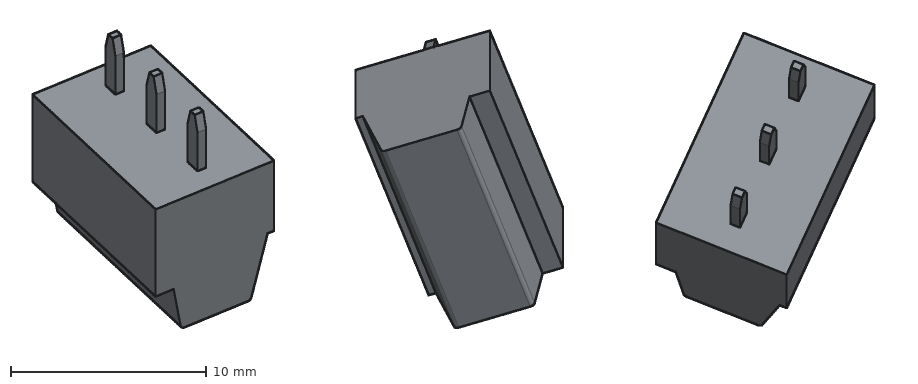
import cadquery as cq
import math

total_height = 12.0
housing_length = 11.42
housing_depth = 7.3
pin_height = 3.5
housing_height = total_height - pin_height

front_shoulder_z = 2.8
back_shoulder_z = 3.9
front_shoulder_width = 1.1
back_shoulder_width = 0.4
front_lean = math.radians(9.5)
back_lean = math.radians(15)
foot_edge_radius = 0.25

pin_count = 3
pin_pitch = 3.8
pin_width = 0.92
pin_thickness = 0.53
pin_tip_width = 0.4
pin_tip_height = 1.0
pin_y = 0.15
pin_x_positions = [(i - (pin_count - 1) / 2) * pin_pitch for i in range(pin_count)]


def make_housing():
    """Side profile in the YZ plane, extruded along the length of the row."""
    front_y = -housing_depth / 2
    back_y = housing_depth / 2
    foot_front_y = front_y + front_shoulder_width
    foot_back_y = back_y - back_shoulder_width
    profile = [
        (front_y, housing_height),
        (front_y, front_shoulder_z),
        (foot_front_y, front_shoulder_z),
        (foot_front_y + front_shoulder_z * math.tan(front_lean), 0),
        (foot_back_y - back_shoulder_z * math.tan(back_lean), 0),
        (foot_back_y, back_shoulder_z),
        (back_y, back_shoulder_z),
        (back_y, housing_height),
    ]
    block = cq.Workplane("YZ").polyline(profile).close().extrude(housing_length / 2, both=True)
    return block.faces("<Z").edges("|X").fillet(foot_edge_radius)


def make_pin(x):
    """One pin standing on the top face, centred on the given X."""
    taper_z = total_height - pin_tip_height
    outline = [
        (x - pin_width / 2, housing_height),
        (x + pin_width / 2, housing_height),
        (x + pin_width / 2, taper_z),
        (x + pin_tip_width / 2, total_height),
        (x - pin_tip_width / 2, total_height),
        (x - pin_width / 2, taper_z),
    ]
    pin = cq.Workplane("XZ").polyline(outline).close().extrude(pin_thickness / 2, both=True)
    return pin.translate((0, pin_y, 0))


result = make_housing()
for pin_x in pin_x_positions:
    result = result.union(make_pin(pin_x))